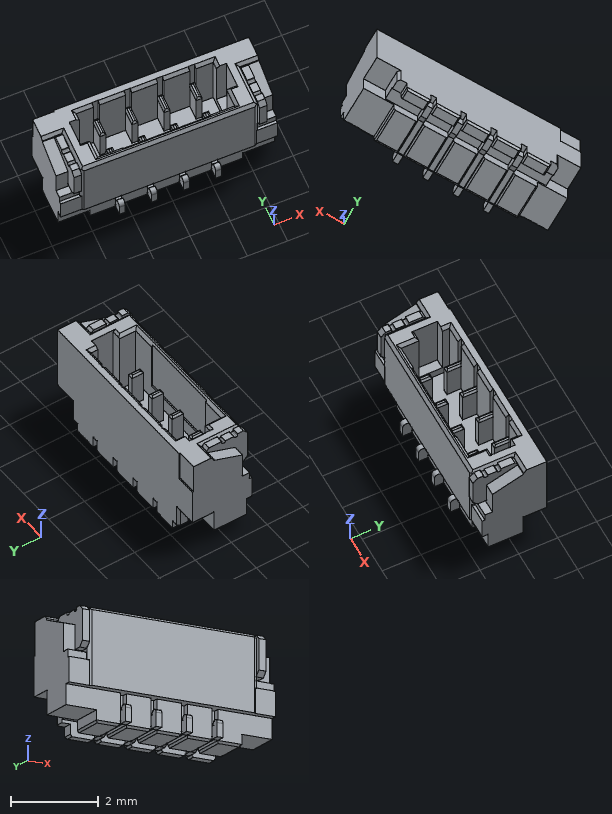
import cadquery as cq


LENGTH = 5.4
BACK_Y = 1.75
HEIGHT = 2.7
HALF_LENGTH = LENGTH / 2
CLEARANCE = 0.27

FRONT_WALL_Y = 0.055
BASE_FRONT_Y = 0.24
BASE_Z = 0.295
FRONT_WALL_Z = 0.8
RIM_CHAMFER = 0.08
RIM_Z = HEIGHT - RIM_CHAMFER
PIN_MARK_LENGTH = 0.54
PIN_MARK_DEPTH = 0.03
PIN_MARK_Z = 1.89

END_WALL_X = 2.215
END_BACK_Y = 1.15
END_SLOPE_TOP_Z = 2.58
END_SLOPE_LOW_Z = 2.295
END_FACE_Y = 0.35
UPPER_LEDGE_Z = 1.61
UPPER_LEDGE_Y = 0.155
LOWER_LEDGE_Z = 1.415
LOWER_LEDGE_Y = 0.085
CORNER_START_X = 2.13
CORNER_END_Y = 0.12
CORNER_RUN = (END_WALL_X - CORNER_START_X) / (CORNER_END_Y - FRONT_WALL_Y)
REAR_RECESS_X = 2.13
REAR_RECESS_Z = 0.895
REAR_RECESS_CHAMFER = 0.065

CAVITY_HALF_X = 1.705
CAVITY_FRONT_Y = 0.26
CAVITY_BACK_Y = 1.5
CAVITY_FLOOR_Z = 0.97
KEYWAY_HALF_X = 1.955
KEYWAY_FRONT_Y = 0.715
KEYWAY_BACK_Y = 1.32
KEYWAY_FLOOR_Z = 1.19
KEYWAY_CHAMFER = 0.06
RELIEF_HALF_X = 1.08
RELIEF_DEPTH = 0.04
RELIEF_Z = 1.35

FEET_HALF_X = 1.9
CHANNEL_Z = 0.38
CHANNEL_FRONT_Y = 1.145
CHANNEL_BACK_Y = 1.47
FOOT_CHAMFER_Z = 0.055
FOOT_CHAMFER_X = 0.0405
FOOT_CHAMFER_Y = 0.055

CONTACT_COUNT = 4
PITCH = 0.8
CONTACT_WIDTH = 0.15
WINDOW_DEPTH = 0.15
CONTACT_Z = 0.055
ARM_TOP_Z = 0.38
RAISED_Z = 0.125
TAIL_WIDTH = 0.19
TAIL_RADIUS = TAIL_WIDTH / 2
TAIL_SHOULDER_Z = 0.395
FRONT_BLADE_Y = (0.445, 0.765)
REAR_BLADE_Y = (1.135, 1.59)
BLADE_TOP_Z = 1.89
BLADE_CHAMFER = 0.05
RISE_END_Y = 1.16
RISE_START_Y = 1.295

CLIP_WIDTH = 0.19
CLIP_OUTER_X = END_WALL_X + CLIP_WIDTH
CLIP_BOTTOM_Z = 1.695
CLIP_TOP_CHAMFER = 0.12
CLIP_BOTTOM_CHAMFER = 0.13
CLIP_BACK_CHAMFER = 0.07
CLIP_GROOVE_DEPTH = 0.08
CLIP_GROOVE_FILLET = 0.025
FRONT_GROOVE_Y = (0.28, 0.385)
REAR_GROOVE_Y = (0.625, 0.725)
CLIP_BRIDGE_DROP = 0.03

CONTACT_XS = [(i - (CONTACT_COUNT - 1) / 2) * PITCH for i in range(CONTACT_COUNT)]


def box(x_range, y_range, z_range):
    """Block between two limits along each axis."""
    size = [high - low for low, high in (x_range, y_range, z_range)]
    corner = (x_range[0], y_range[0], z_range[0])
    return cq.Workplane("XY").box(*size, centered=False).translate(corner)


def side_prism(points, x_start, x_end):
    """Outline of (y, z) points extruded along X."""
    outline = cq.Workplane("YZ").workplane(offset=x_start).polyline(points).close()
    return outline.extrude(x_end - x_start)


def make_shell():
    outline = [
        (BASE_FRONT_Y, BASE_Z),
        (BACK_Y, BASE_Z),
        (BACK_Y, HEIGHT),
        (FRONT_WALL_Y + RIM_CHAMFER, HEIGHT),
        (FRONT_WALL_Y, RIM_Z),
        (FRONT_WALL_Y, FRONT_WALL_Z),
        (BASE_FRONT_Y, FRONT_WALL_Z),
    ]
    return side_prism(outline, -HALF_LENGTH, HALF_LENGTH)


def make_end_step(slope_points, x_start, x_end):
    """Space above the stepped end; the slope points give its upper part, from back to front."""
    above = HEIGHT + CLEARANCE
    outline = [(-CLEARANCE, above), (END_BACK_Y, above)] + slope_points + [
        (END_FACE_Y, UPPER_LEDGE_Z),
        (UPPER_LEDGE_Y, UPPER_LEDGE_Z),
        (UPPER_LEDGE_Y, LOWER_LEDGE_Z),
        (-CLEARANCE, LOWER_LEDGE_Z),
    ]
    return side_prism(outline, x_start, x_end)


def make_corner_bevel(depth_y, z_range):
    """Space in front of the bevelled corner, down to the plane y = depth_y."""
    outer_x = HALF_LENGTH + CLEARANCE
    bevel_end_x = CORNER_START_X + (depth_y - FRONT_WALL_Y) * CORNER_RUN
    outline = [
        (CORNER_START_X, FRONT_WALL_Y),
        (bevel_end_x, depth_y),
        (outer_x, depth_y),
        (outer_x, FRONT_WALL_Y - CLEARANCE),
        (CORNER_START_X, FRONT_WALL_Y - CLEARANCE),
    ]
    low, high = z_range
    return cq.Workplane("XY").workplane(offset=low).polyline(outline).close().extrude(high - low)


def make_flared_mouth(x_range, y_range):
    """Space above a rectangular opening whose rim is chamfered at 45 degrees, with mitred corners."""
    wide_x = (x_range[0] - RIM_CHAMFER, x_range[1] + RIM_CHAMFER)
    wide_y = (y_range[0] - RIM_CHAMFER, y_range[1] + RIM_CHAMFER)
    mouth = box(wide_x, wide_y, (RIM_Z, HEIGHT + CLEARANCE))
    return mouth.faces("<Z").edges().chamfer(RIM_CHAMFER)


def make_rear_recess():
    """Lower back corner removed from the end wall, with a chamfered inner corner."""
    outer_x = HALF_LENGTH + CLEARANCE
    outline = [
        (outer_x, CHANNEL_FRONT_Y),
        (REAR_RECESS_X, CHANNEL_FRONT_Y),
        (REAR_RECESS_X, BACK_Y - REAR_RECESS_CHAMFER),
        (REAR_RECESS_X - REAR_RECESS_CHAMFER, BACK_Y),
        (outer_x, BACK_Y),
    ]
    return cq.Workplane("XY").polyline(outline).close().extrude(REAR_RECESS_Z)


def cut_ends(housing):
    slope = [(END_BACK_Y, END_SLOPE_TOP_Z), (END_FACE_Y, END_SLOPE_LOW_Z)]
    slot_floor = [(END_BACK_Y, CLIP_BOTTOM_Z), (END_FACE_Y, CLIP_BOTTOM_Z)]
    spaces = [
        make_end_step(slope, CLIP_OUTER_X, HALF_LENGTH + CLEARANCE),
        make_end_step(slot_floor, END_WALL_X, CLIP_OUTER_X),
        make_corner_bevel(LOWER_LEDGE_Y, (FRONT_WALL_Z, LOWER_LEDGE_Z)),
        make_corner_bevel(CORNER_END_Y, (LOWER_LEDGE_Z, HEIGHT + CLEARANCE)),
        make_flared_mouth((END_WALL_X, HALF_LENGTH + CLEARANCE), (-CLEARANCE, END_BACK_Y)),
        make_rear_recess(),
    ]
    for space in spaces:
        housing = housing.cut(space).cut(space.mirror("YZ"))
    return housing


def make_cavity():
    x_range = (-CAVITY_HALF_X, CAVITY_HALF_X)
    y_range = (CAVITY_FRONT_Y, CAVITY_BACK_Y)
    cavity = box(x_range, y_range, (CAVITY_FLOOR_Z, HEIGHT))
    mouth = make_flared_mouth(x_range, y_range)
    keyway_outline = [
        (KEYWAY_BACK_Y, KEYWAY_FLOOR_Z),
        (KEYWAY_BACK_Y, HEIGHT),
        (KEYWAY_FRONT_Y - KEYWAY_CHAMFER, HEIGHT),
        (KEYWAY_FRONT_Y, HEIGHT - KEYWAY_CHAMFER),
        (KEYWAY_FRONT_Y, KEYWAY_FLOOR_Z),
    ]
    keyway = side_prism(keyway_outline, -KEYWAY_HALF_X, KEYWAY_HALF_X)
    relief = box(
        (-RELIEF_HALF_X, RELIEF_HALF_X),
        (CAVITY_FRONT_Y - RELIEF_DEPTH, CAVITY_BACK_Y),
        (RELIEF_Z, HEIGHT),
    )
    return cavity.union(mouth).union(keyway).union(relief)


def make_foot(x_range, y_range, outer_y, inward):
    """Standoff foot, bevelled at both sides and along its outer face (inward is +1 or -1 in Y)."""
    foot = box(x_range, y_range, (0, BASE_Z))
    for edge_x, toward_middle in ((x_range[0], 1), (x_range[1], -1)):
        bevel = (
            cq.Workplane("XZ", origin=(edge_x, y_range[1], 0))
            .polyline([(0, 0), (toward_middle * FOOT_CHAMFER_X, 0), (0, FOOT_CHAMFER_Z)])
            .close()
            .extrude(y_range[1] - y_range[0])
        )
        foot = foot.cut(bevel)
    outer_bevel = [(outer_y, 0), (outer_y + inward * FOOT_CHAMFER_Y, 0), (outer_y, FOOT_CHAMFER_Z)]
    return foot.cut(side_prism(outer_bevel, *x_range))


def add_feet(housing):
    half_slot = CONTACT_WIDTH / 2
    starts = [-FEET_HALF_X] + [x + half_slot for x in CONTACT_XS]
    ends = [x - half_slot for x in CONTACT_XS] + [FEET_HALF_X]
    for x_range in zip(starts, ends):
        front_foot = make_foot(x_range, (BASE_FRONT_Y, CHANNEL_FRONT_Y), BASE_FRONT_Y, 1)
        rear_foot = make_foot(x_range, (CHANNEL_BACK_Y, BACK_Y), BACK_Y, -1)
        housing = housing.union(front_foot).union(rear_foot)
    return housing


def make_contact_slot(x):
    """Slot along the underside, a window at the front and a passage for each blade."""
    x_range = (x - CONTACT_WIDTH / 2, x + CONTACT_WIDTH / 2)
    underside = box(x_range, (BASE_FRONT_Y, BACK_Y), (0, ARM_TOP_Z))
    window = box(x_range, (BASE_FRONT_Y, BASE_FRONT_Y + WINDOW_DEPTH), (0, FRONT_WALL_Z))
    front_passage = box(x_range, FRONT_BLADE_Y, (0, HEIGHT))
    rear_passage = box(x_range, REAR_BLADE_Y, (0, HEIGHT))
    return underside.union(window).union(front_passage).union(rear_passage)


def make_housing():
    housing = cut_ends(make_shell()).cut(make_cavity())
    housing = add_feet(housing)
    channel = box(
        (-HALF_LENGTH, HALF_LENGTH), (CHANNEL_FRONT_Y, CHANNEL_BACK_Y), (0, CHANNEL_Z)
    )
    pin_mark = box(
        (-HALF_LENGTH, PIN_MARK_LENGTH - HALF_LENGTH),
        (BACK_Y - PIN_MARK_DEPTH, BACK_Y),
        (PIN_MARK_Z, HEIGHT),
    )
    housing = housing.cut(channel).cut(pin_mark)
    for x in CONTACT_XS:
        housing = housing.cut(make_contact_slot(x))
    return housing


def make_contact(x):
    """Flat arm with a round-topped solder tail in front and two upright blades."""
    x_range = (x - CONTACT_WIDTH / 2, x + CONTACT_WIDTH / 2)
    contact = (
        cq.Workplane("YZ", origin=(x_range[0], 0, 0))
        .moveTo(0, CONTACT_Z)
        .lineTo(0, TAIL_SHOULDER_Z)
        .threePointArc((TAIL_RADIUS, TAIL_SHOULDER_Z + TAIL_RADIUS), (TAIL_WIDTH, TAIL_SHOULDER_Z))
        .lineTo(TAIL_WIDTH, ARM_TOP_Z)
        .lineTo(REAR_BLADE_Y[1], ARM_TOP_Z)
        .lineTo(REAR_BLADE_Y[1], CONTACT_Z)
        .lineTo(RISE_START_Y, CONTACT_Z)
        .lineTo(RISE_END_Y, RAISED_Z)
        .lineTo(BASE_FRONT_Y, RAISED_Z)
        .lineTo(BASE_FRONT_Y, CONTACT_Z)
        .close()
        .extrude(CONTACT_WIDTH)
    )
    for y_range in (FRONT_BLADE_Y, REAR_BLADE_Y):
        blade = box(x_range, y_range, (ARM_TOP_Z, BLADE_TOP_Z))
        contact = contact.union(blade.faces(">Z").edges().chamfer(BLADE_CHAMFER))
    return contact


def make_clip():
    """Clip of the +X end: a bevelled plate with two round-cornered grooves across its top edge."""
    outline = [
        (0, HEIGHT - CLIP_TOP_CHAMFER),
        (CLIP_TOP_CHAMFER, HEIGHT),
        (END_BACK_Y - CLIP_BACK_CHAMFER, HEIGHT),
        (END_BACK_Y, HEIGHT - CLIP_BACK_CHAMFER),
        (END_BACK_Y, CLIP_BOTTOM_Z),
        (CLIP_BOTTOM_CHAMFER, CLIP_BOTTOM_Z),
        (0, CLIP_BOTTOM_Z + CLIP_BOTTOM_CHAMFER),
    ]
    clip = side_prism(outline, END_WALL_X, CLIP_OUTER_X)
    x_range = (END_WALL_X, CLIP_OUTER_X)
    for y_range in (FRONT_GROOVE_Y, REAR_GROOVE_Y):
        groove = box(x_range, y_range, (HEIGHT - CLIP_GROOVE_DEPTH, HEIGHT))
        clip = clip.cut(groove.edges("|X and <Z").fillet(CLIP_GROOVE_FILLET))
    bridge_y = (FRONT_GROOVE_Y[1], REAR_GROOVE_Y[0])
    return clip.cut(box(x_range, bridge_y, (HEIGHT - CLIP_BRIDGE_DROP, HEIGHT)))


housing = make_housing()
contacts = [make_contact(x) for x in CONTACT_XS]
right_clip = make_clip()
left_clip = right_clip.mirror("YZ")

result = cq.Compound.makeCompound(
    [housing.val(), *[contact.val() for contact in contacts], right_clip.val(), left_clip.val()]
)